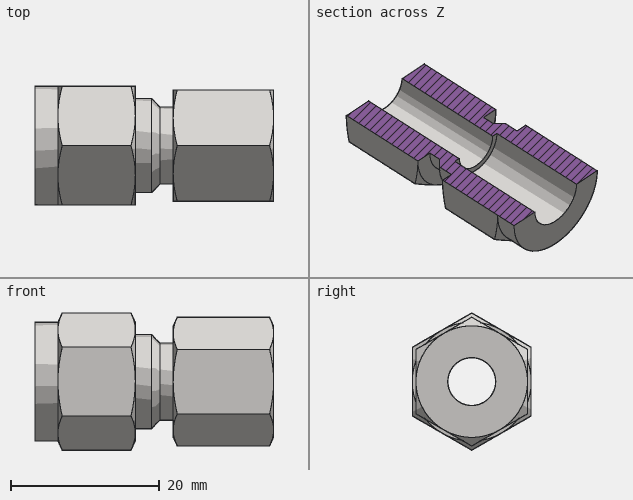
import cadquery as cq
import math


collar_length = 3.1
nut_length = 10.4
shoulder_length = 2.2
cone_length = 1.1
neck_length = 1.8
body_hex_length = 13.5

nut_across_flats = 16.0
body_across_flats = 15.0
collar_diameter = nut_across_flats
shoulder_diameter = 12.7
neck_diameter = 10.4
hexagon_sides = 6
chamfer_angle = 25.0

tube_diameter = 8.0
tube_socket_depth = 15.0
through_diameter = 6.4

nut_start = collar_length
shoulder_start = nut_start + nut_length
cone_start = shoulder_start + shoulder_length
neck_start = cone_start + cone_length
body_start = neck_start + neck_length
total_length = body_start + body_hex_length


def revolve_profile(points):
    """Turn a closed (x, radius) outline about the X axis."""
    return cq.Workplane("XY").polyline(points).close().revolve(360, (0, 0, 0), (1, 0, 0))


def cylinder(start, length, diameter):
    return cq.Workplane("YZ").workplane(offset=start).circle(diameter / 2).extrude(length)


def chamfered_hexagon(start, length, across_flats):
    """Hexagonal prism with corners up and down, its ends turned to a cone."""
    flat_radius = across_flats / 2
    corner_radius = flat_radius / math.cos(math.pi / hexagon_sides)
    end = start + length
    chamfer_length = (corner_radius - flat_radius) * math.tan(math.radians(chamfer_angle))
    prism = (
        cq.Workplane("YZ")
        .workplane(offset=start)
        .transformed(rotate=(0, 0, 90))
        .polygon(hexagon_sides, 2 * corner_radius)
        .extrude(length)
    )
    envelope = revolve_profile([
        (start, 0),
        (start, flat_radius),
        (start + chamfer_length, corner_radius),
        (end - chamfer_length, corner_radius),
        (end, flat_radius),
        (end, 0),
    ])
    return prism.intersect(envelope)


def turned_middle():
    """Shoulder, cone and neck between the two hexagons."""
    return revolve_profile([
        (shoulder_start, 0),
        (shoulder_start, shoulder_diameter / 2),
        (cone_start, shoulder_diameter / 2),
        (neck_start, neck_diameter / 2),
        (body_start, neck_diameter / 2),
        (body_start, 0),
    ])


collar = cylinder(0, collar_length, collar_diameter)
nut = chamfered_hexagon(nut_start, nut_length, nut_across_flats)
body_hexagon = chamfered_hexagon(body_start, body_hex_length, body_across_flats)
tube_socket = cylinder(0, tube_socket_depth, tube_diameter)
through_bore = cylinder(0, total_length, through_diameter)

result = (
    collar.union(nut)
    .union(turned_middle())
    .union(body_hexagon)
    .cut(tube_socket)
    .cut(through_bore)
)